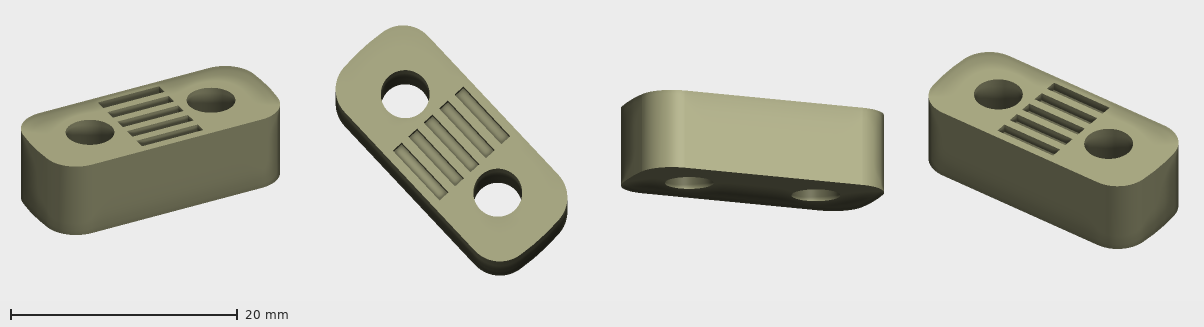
import cadquery as cq
import math

width = 10.0
length = 23.12
height = 7.0
end_radius = 20.0
corner_radius = 3.0

hole_diameter = 4.3
hole_spacing = 12.0

slot_count = 5
slot_width = 1.06
slot_length = 6.05
slot_pitch = 1.85
slot_depth = 0.8


def make_body():
    """Block with straight long sides, bowed ends and rounded vertical corners."""
    half_width = width / 2
    half_length = length / 2
    bow_height = end_radius - math.sqrt(end_radius**2 - half_width**2)
    corner_y = half_length - bow_height
    return (
        cq.Workplane("XY")
        .moveTo(-half_width, -corner_y)
        .threePointArc((0, -half_length), (half_width, -corner_y))
        .lineTo(half_width, corner_y)
        .threePointArc((0, half_length), (-half_width, corner_y))
        .close()
        .extrude(height)
        .edges("|Z")
        .fillet(corner_radius)
    )


def cut_holes(body):
    """Two through holes on the long centreline."""
    return (
        body.faces(">Z")
        .workplane(origin=(0, 0, height))
        .rarray(0.23, hole_spacing, 1, 2)
        .hole(hole_diameter)
    )


def cut_slots(body):
    """Row of parallel blind slots running along Y."""
    return (
        body.faces(">Z")
        .workplane(origin=(0, 0, height))
        .rarray(slot_pitch, 0.23, slot_count, 1)
        .rect(slot_width, slot_length)
        .cutBlind(-slot_depth)
    )


result = cut_slots(cut_holes(make_body()))